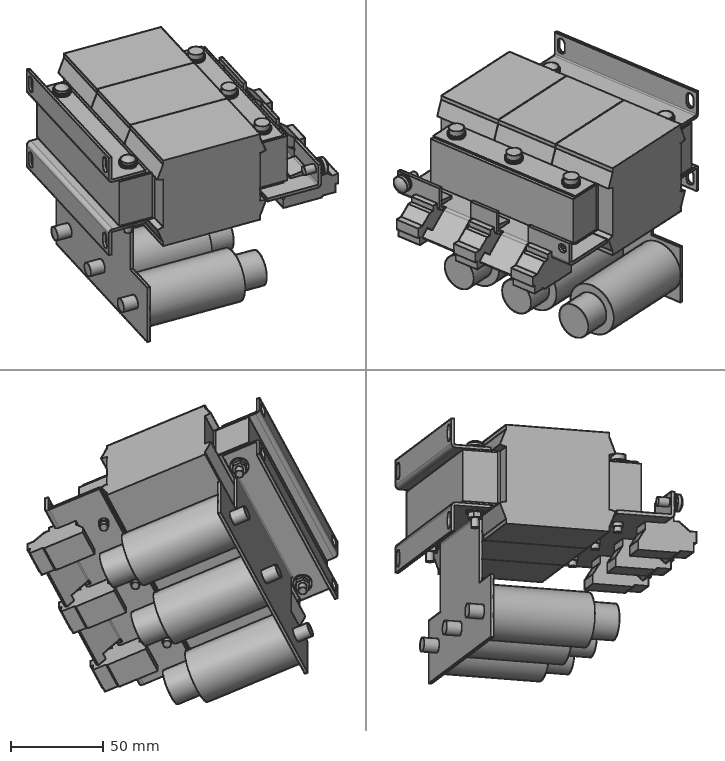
import cadquery as cq
import math


POLE_PITCH = 40.1
POLES = (-POLE_PITCH, 0, POLE_PITCH)
COIL_WIDTH = 39.8
OVERALL_HALF_X = POLE_PITCH + COIL_WIDTH / 2
COIL_HALF_Y = 29.5
COIL_HALF_Z = 27.7
FLANGE_HALF_Y = 33.0
FLANGE_TOP_Z = 25.2
FLANGE_TIP_Z = 16.3
YOKE_WIDTH = 99.8
YOKE_INNER_Y = 31.1
YOKE_OUTER_Y = 51.0
YOKE_HALF_Z = 14.3
LINER_WIDTH = 99.5
LINER_HALF_Y = 49.0
LINER_HALF_Z = 15.3

SHEET = 1.7
BEND_INNER_RADIUS = 0.7
FRONT_TOE_Y = -35.0
FRONT_FACE_Y = -57.4
ANGLE_WIDTH = 99.3
ANGLE_END_Z = 31.5
SLOT_X = 45.0
SLOT_Z = 24.5
SLOT_LENGTH = 9.3
SLOT_WIDTH = 4.8
PLATE_FRONT_Y = FRONT_TOE_Y - SHEET
PLATE_FOLD_Y = PLATE_FRONT_Y - 2 * SHEET
PLATE_NECK_WIDTH = 69.2
PLATE_WIDTH = 110.2
PLATE_SHOULDER_Z = -55.4
PLATE_BOTTOM_Z = -90.5

CAP_Z = -73.0
CAP_RADIUS = 15.2
CAP_END_Y = 22.8
CAP_NECK_RADIUS = 10.1
CAP_NECK_END_Y = 38.5
CAP_STUD_RADIUS = 4.0
CAP_STUD_END_Y = -45.3

REAR_SHEET = 2.0
REAR_OUTER_Z = -LINER_HALF_Z - REAR_SHEET
REAR_TOE_Y = 34.0
REAR_FACE_Y = 66.8
REAR_TOP_Z = -2.5
NOTCH_WIDTH = 22.0
NOTCH_INNER_Y = 63.4
TAB_X = POLE_PITCH / 2
TAB_WIDTH = 18.0
TAB_HEAD_Y = 75.2
TAB_END_Y = 79.7
TAB_SLOPE = math.radians(40)
TAB_BEND_RADIUS = 3.2

TERMINAL_WIDTH = 15.0
TERMINAL_PROFILE = [
    (70.3, -12.5),
    (63.0, -12.5),
    (54.0, -13.9),
    (54.0, -21.4),
    (49.9, -28.0),
    (49.9, -33.3),
    (73.1, -33.3),
    (74.0, -32.2),
    (81.7, -32.2),
    (81.7, -27.0),
    (83.2, -27.0),
    (83.2, -20.8),
    (79.5, -20.8),
    (73.1, -15.7),
    (70.3, -15.7),
]

BOLT_Y = 40.8
BOLT_DIAMETER = 4.4
WASHER = 1.0
WASHER_DIAMETER = 10.1
SPRING_WASHER_DIAMETER = 9.1
HEAD_DIAMETER = 8.5
REAR_HEAD_TOP_Z = 20.5
REAR_NUT_DIAMETER = 5.5
REAR_NUT_END_Z = -19.5
REAR_BOLT_END_Z = -22.6
FRONT_HEAD_RIM = 1.5
FRONT_HEAD_DOME = 1.8
NUT_CORNER_DIAMETER = 8.3
FRONT_NUT_END_Z = -21.0
FRONT_BOLT_END_Z = -26.2

EARTH_X = 55.0
EARTH_Z = -7.5
EARTH_WASHER_DIAMETER = 9.8
EARTH_HEAD_DIAMETER = 9.5
EARTH_RIM = 2.1
EARTH_DOME = 1.8
EARTH_SHANK_DIAMETER = 5.0
EARTH_SHANK_LENGTH = 8.3


def box_between(x_size, y_range, z_range):
    """Box centred on X = 0 that spans the given Y and Z ranges."""
    y0, y1 = y_range
    z0, z1 = z_range
    return cq.Workplane("XY").box(x_size, y1 - y0, z1 - z0).translate((0, (y0 + y1) / 2, (z0 + z1) / 2))


def side_prism(points, width):
    """Extrude a (Y, Z) polygon symmetrically along X."""
    return cq.Workplane("YZ").polyline(points).close().extrude(width / 2, both=True)


def bent_angle(toe_y, face_y, outer_z, end_z, sheet, width):
    """Sheet angle with a level leg from toe_y to face_y and an upright leg to end_z.

    face_y and outer_z are the two outer surfaces, which meet in the rounded bend.
    """
    out_y = math.copysign(1, face_y - toe_y)
    up = math.copysign(1, end_z - outer_z)
    inner_y = face_y - out_y * sheet
    inner_z = outer_z + up * sheet
    outer_radius = BEND_INNER_RADIUS + sheet
    return (
        cq.Workplane("YZ")
        .moveTo(toe_y, outer_z)
        .lineTo(face_y - out_y * outer_radius, outer_z)
        .tangentArcPoint((face_y, outer_z + up * outer_radius), relative=False)
        .lineTo(face_y, end_z)
        .lineTo(inner_y, end_z)
        .lineTo(inner_y, inner_z + up * BEND_INNER_RADIUS)
        .tangentArcPoint((inner_y - out_y * BEND_INNER_RADIUS, inner_z), relative=False)
        .lineTo(toe_y, inner_z)
        .close()
        .extrude(width / 2, both=True)
    )


def cylinder_z(diameter, bottom, top):
    """Cylinder on the Z axis between two heights."""
    return cq.Workplane("XY").workplane(offset=bottom).circle(diameter / 2).extrude(top - bottom)


def cylinder_y(radius, x, z, start_y, end_y):
    """Cylinder along Y between two Y positions."""
    return (
        cq.Workplane("XZ", origin=(0, start_y, 0))
        .center(x, z)
        .circle(radius)
        .extrude(start_y - end_y)
    )


def domed_head(diameter, rim_height, dome_height):
    """Round screw head standing on Z = 0, with a spherical cap over a straight rim."""
    radius = diameter / 2
    sphere = (radius**2 + dome_height**2) / (2 * dome_height)
    mid_x = radius / 2
    mid_z = rim_height + dome_height - sphere + math.sqrt(sphere**2 - mid_x**2)
    return (
        cq.Workplane("XZ")
        .lineTo(radius, 0)
        .lineTo(radius, rim_height)
        .threePointArc((mid_x, mid_z), (0, rim_height + dome_height))
        .close()
        .revolve(360, (0, 0, 0), (0, 1, 0))
    )


def coil():
    """Coil body whose four long edges flare out into winding flanges."""
    quarter = [
        (COIL_HALF_Y, COIL_HALF_Z),
        (COIL_HALF_Y, FLANGE_TOP_Z),
        (FLANGE_HALF_Y, FLANGE_TIP_Z),
        (COIL_HALF_Y, LINER_HALF_Z),
    ]
    rear_side = quarter + [(y, -z) for y, z in reversed(quarter)]
    front_side = [(-y, z) for y, z in reversed(rear_side)]
    return side_prism(rear_side + front_side, COIL_WIDTH)


def core():
    """Two laminated yokes joined by the lined block that runs through the coils."""
    block = cq.Workplane("XY").box(LINER_WIDTH, 2 * LINER_HALF_Y, 2 * LINER_HALF_Z)
    rear_yoke = box_between(YOKE_WIDTH, (YOKE_INNER_Y, YOKE_OUTER_Y), (-YOKE_HALF_Z, YOKE_HALF_Z))
    return block.union(rear_yoke).union(rear_yoke.mirror("XZ"))


def front_angle(side):
    """Slotted mounting angle on the upper (side = 1) or lower (side = -1) front yoke."""
    angle = bent_angle(
        FRONT_TOE_Y, FRONT_FACE_Y, side * LINER_HALF_Z, side * ANGLE_END_Z, SHEET, ANGLE_WIDTH
    )
    slots = (
        cq.Workplane("XZ", origin=(0, FRONT_FACE_Y + 2 * SHEET, 0))
        .pushPoints([(-SLOT_X, side * SLOT_Z), (SLOT_X, side * SLOT_Z)])
        .slot2D(SLOT_LENGTH, SLOT_WIDTH, 90)
        .extrude(4 * SHEET)
    )
    return angle.cut(slots)


def hanging_plate():
    """T-shaped plate folded down from the toe of the lower front angle."""
    neck = bent_angle(
        PLATE_FOLD_Y, FRONT_TOE_Y, -LINER_HALF_Z, PLATE_SHOULDER_Z, SHEET, PLATE_NECK_WIDTH
    )
    foot = box_between(
        PLATE_WIDTH, (PLATE_FRONT_Y, FRONT_TOE_Y), (PLATE_BOTTOM_Z, PLATE_SHOULDER_Z)
    )
    return neck.union(foot)


def capacitor(x):
    """Capacitor can with a narrower rear end and a stud through the hanging plate."""
    can = cylinder_y(CAP_RADIUS, x, CAP_Z, FRONT_TOE_Y, CAP_END_Y)
    rear_end = cylinder_y(CAP_NECK_RADIUS, x, CAP_Z, CAP_END_Y, CAP_NECK_END_Y)
    stud = cylinder_y(CAP_STUD_RADIUS, x, CAP_Z, CAP_STUD_END_Y, FRONT_TOE_Y)
    return can.union(rear_end).union(stud)


def tab_bend_point(depth, angle):
    """(Y, Z) in the tab bend, depth below its upper face and turned by angle from level."""
    radius = TAB_BEND_RADIUS - depth
    centre_z = -LINER_HALF_Z - TAB_BEND_RADIUS
    return NOTCH_INNER_Y + radius * math.sin(angle), centre_z + radius * math.cos(angle)


def tab_slope_point(depth, upper_y):
    """(Y, Z) on the sloping tab, depth below the upper-face point whose Y is upper_y."""
    bend_y, bend_z = tab_bend_point(depth, TAB_SLOPE)
    run_y = upper_y - tab_bend_point(0, TAB_SLOPE)[0]
    return bend_y + run_y, bend_z - run_y * math.tan(TAB_SLOPE)


def sloping_tab():
    """Narrow strip bent down from the rear angle, with a wide head at its end."""
    strip = (
        cq.Workplane("YZ")
        .moveTo(*tab_bend_point(0, 0))
        .threePointArc(tab_bend_point(0, TAB_SLOPE / 2), tab_bend_point(0, TAB_SLOPE))
        .lineTo(*tab_slope_point(0, TAB_END_Y))
        .lineTo(*tab_slope_point(REAR_SHEET, TAB_END_Y))
        .lineTo(*tab_bend_point(REAR_SHEET, TAB_SLOPE))
        .threePointArc(tab_bend_point(REAR_SHEET, TAB_SLOPE / 2), tab_bend_point(REAR_SHEET, 0))
        .close()
        .extrude(TAB_WIDTH / 2, both=True)
    )
    head = side_prism(
        [
            tab_slope_point(0, TAB_HEAD_Y),
            tab_slope_point(0, TAB_END_Y),
            tab_slope_point(REAR_SHEET, TAB_END_Y),
            tab_slope_point(REAR_SHEET, TAB_HEAD_Y),
        ],
        POLE_PITCH - TERMINAL_WIDTH,
    )
    return strip.union(head)


def rear_angle():
    """Rear angle with a sloping tab in each of two notches and a free earth hole."""
    angle = bent_angle(
        REAR_TOE_Y, REAR_FACE_Y, REAR_OUTER_Z, REAR_TOP_Z, REAR_SHEET, 2 * OVERALL_HALF_X
    )
    notch = box_between(NOTCH_WIDTH, (NOTCH_INNER_Y, REAR_FACE_Y), (REAR_OUTER_Z, REAR_TOP_Z))
    tab = sloping_tab()
    for x in (-TAB_X, TAB_X):
        angle = angle.cut(notch.translate((x, 0, 0))).union(tab.translate((x, 0, 0)))
    earth_hole = cylinder_y(
        EARTH_SHANK_DIAMETER / 2, -EARTH_X, EARTH_Z, REAR_FACE_Y - 2 * REAR_SHEET, REAR_FACE_Y
    )
    return angle.cut(earth_hole)


def terminal_block():
    """Terminal block clipped round the bend of the rear angle."""
    return side_prism(TERMINAL_PROFILE, TERMINAL_WIDTH)


def washer_pair(seat_z, flat_diameter):
    """Spring washer on seat_z with a wider flat washer on top."""
    spring = cylinder_z(SPRING_WASHER_DIAMETER, seat_z, seat_z + WASHER)
    flat = cylinder_z(flat_diameter, seat_z + WASHER, seat_z + 2 * WASHER)
    return spring.union(flat)


def earth_screw():
    """Domed screw with washers through the upright leg of the rear angle."""
    washers = washer_pair(0, EARTH_WASHER_DIAMETER)
    head = domed_head(EARTH_HEAD_DIAMETER, EARTH_RIM, EARTH_DOME).translate((0, 0, 2 * WASHER))
    shank = cylinder_z(EARTH_SHANK_DIAMETER, -EARTH_SHANK_LENGTH, 0)
    screw = washers.union(head).union(shank)
    return screw.rotate((0, 0, 0), (1, 0, 0), -90).translate((EARTH_X, REAR_FACE_Y, EARTH_Z))


def rear_bolt(x):
    """Cylindrical-head bolt through the rear yoke with a small nut below."""
    seat_z = LINER_HALF_Z
    head_z = seat_z + 2 * WASHER
    head = cylinder_z(HEAD_DIAMETER, head_z, REAR_HEAD_TOP_Z)
    nut = cylinder_z(REAR_NUT_DIAMETER, REAR_NUT_END_Z, REAR_OUTER_Z)
    shank = cylinder_z(BOLT_DIAMETER, REAR_BOLT_END_Z, seat_z)
    bolt = washer_pair(seat_z, WASHER_DIAMETER).union(head).union(nut).union(shank)
    return bolt.translate((x, BOLT_Y, 0))


def front_bolt(x):
    """Domed bolt through both front angles with a washer and hexagon nut below."""
    seat_z = LINER_HALF_Z + SHEET
    head_z = seat_z + 2 * WASHER
    head = domed_head(HEAD_DIAMETER, FRONT_HEAD_RIM, FRONT_HEAD_DOME).translate((0, 0, head_z))
    lower_washer = cylinder_z(WASHER_DIAMETER, -seat_z - WASHER, -seat_z)
    nut = (
        cq.Workplane("XY")
        .workplane(offset=FRONT_NUT_END_Z)
        .polygon(6, NUT_CORNER_DIAMETER)
        .extrude(-seat_z - WASHER - FRONT_NUT_END_Z)
        .rotate((0, 0, 0), (0, 0, 1), 90)
    )
    shank = cylinder_z(BOLT_DIAMETER, FRONT_BOLT_END_Z, seat_z)
    bolt = washer_pair(seat_z, WASHER_DIAMETER).union(head).union(lower_washer).union(nut).union(shank)
    return bolt.translate((x, -BOLT_Y, 0))


result = core()
for pole_x in POLES:
    result = result.union(coil().translate((pole_x, 0, 0)))
result = result.union(front_angle(1)).union(front_angle(-1)).union(hanging_plate()).union(rear_angle())
for pole_x in POLES:
    result = result.union(capacitor(pole_x))
    result = result.union(terminal_block().translate((pole_x, 0, 0)))
    result = result.union(rear_bolt(pole_x))
for bolt_x in (POLES[0], POLES[-1]):
    result = result.union(front_bolt(bolt_x))
result = result.union(earth_screw())